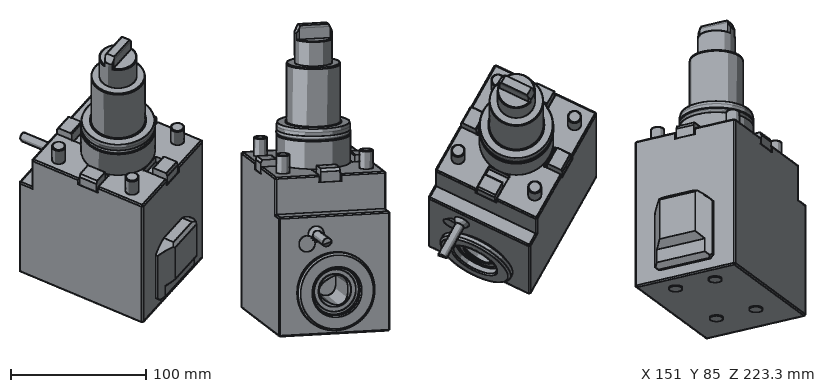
import cadquery as cq
import math


overall_height = 223.3

overlap = 2.2

body_left = -60.0
body_right = 47.8
body_width = 85.0
body_bottom = -118.3
step_left = -49.0
step_height = -28.0
edge_chamfer = 1.1

foot_diameter = 10.0
foot_height = 1.0
foot_left = -29.7
foot_right = 31.7
foot_y = 16.7
pin_diameter = 10.0
pin_height = 13.8
pin_offset = 32.0
pin_chamfer = 0.7

slot_width = 17.5
slot_start = 27.5
slot_depth = 5.4
key_width = 14.7
key_height = 5.0
key_length = 12.7
key_inset = 0.2
key_chamfer_height = 2.5
key_chamfer_depth = 1.1
key_inner_chamfer = 0.7

collar_diameter = 55.0
collar_height = 30.1
collar_chamfer_height = 2.2
collar_chamfer_width = 0.7
groove_diameter = 50.0
groove_bottom = 20.8
groove_top = 24.8
seal_diameter = 55.4
seal_section = 3.1
seal_height = 23.0
shank_foot_diameter = 41.8
shank_foot_height = 0.5
shank_diameter = 40.0
shank_top = 75.0
shank_chamfer_height = 1.1
shank_chamfer_width = 0.5
drive_diameter = 28.0
drive_top = 93.8
drive_chamfer = 0.7
tang_top = overall_height + body_bottom - foot_height
tang_width = 7.5
tang_flat_length = 24.0
tang_corner = 0.7
tang_top_length = 21.7
tang_shoulder = 97.8
tang_chamfer_height = 1.5
tang_chamfer_width = 0.5

spindle_z = -85.0
flange_diameter = 59.0
flange_front = -67.2
flange_back = -62.5
flange_chamfer = 1.5
neck_diameter = 50.0
recess_mouth_diameter = 38.2
recess_diameter = 36.0
recess_depth = 5.4
seat_diameter = 32.0
seat_depth = 5.8
bore_diameter = 25.0
bore_depth = 6.7
socket_depth = 31.3
socket_radius = 11.0
socket_lobe = 1.0
socket_taper = 0.93
socket_lobes = 3
socket_curve_steps = 60

pipe_y = 14.0
pipe_z = -42.0
pipe_diameter = 7.0
pipe_tip = -92.0
pipe_cut = 3.1
pipe_cut_turn = -18.0
ball_diameter = 12.5
ball_inset = 1.5
plug_y = 21.9
plug_z = -48.2
plug_small_diameter = 6.0
plug_height = 3.1

cover_right = 59.0
cover_ledge = 53.5
cover_side_edge = 49.5
cover_width = 49.0
cover_corner_radius = 32.5
cover_top = -55.2
cover_top_chamfer = 2.7
cover_slope_start = -89.8


def rod_x(diameter, x_start, x_end, y, z):
    """Cylinder along X between two X positions."""
    plane = cq.Workplane("YZ", origin=(x_start, y, z))
    return plane.circle(diameter / 2).extrude(x_end - x_start)


def make_body():
    outline = [
        (body_left, body_bottom),
        (body_right, body_bottom),
        (body_right, 0),
        (step_left, 0),
        (step_left, step_height),
        (body_left, step_height),
    ]
    block = cq.Workplane("XZ").polyline(outline).close().extrude(body_width / 2, both=True)
    convex_edges = block.edges("|X or |Z or (|Y and (<X or >X or >Z or <Z))")
    return convex_edges.chamfer(edge_chamfer)


def make_slot_and_key(direction, wall):
    """Slot in the seat face and its key, laid out along +X and turned about the shank axis."""
    slot_length = wall - slot_start + overlap
    slot = cq.Workplane("XY").box(slot_length, slot_width, slot_depth + overlap, centered=(False, True, False))
    slot = slot.translate((slot_start, 0, -slot_depth))
    key_end = wall - key_inset
    key_start = key_end - key_length
    key_profile = [
        (key_start, -slot_depth),
        (key_end, -slot_depth),
        (key_end, key_height - key_chamfer_height),
        (key_end - key_chamfer_depth, key_height),
        (key_start + key_inner_chamfer, key_height),
        (key_start, key_height - key_inner_chamfer),
    ]
    key = cq.Workplane("XZ").polyline(key_profile).close().extrude(key_width / 2, both=True)
    axis = ((0, 0, 0), (0, 0, 1), direction)
    return slot.rotate(*axis), key.rotate(*axis)


def make_shank():
    collar_r = collar_diameter / 2
    shank_r = shank_diameter / 2
    drive_r = drive_diameter / 2
    profile = [
        (0, -slot_depth),
        (collar_r, -slot_depth),
        (collar_r, groove_bottom),
        (groove_diameter / 2, groove_bottom),
        (groove_diameter / 2, groove_top),
        (collar_r, groove_top),
        (collar_r, collar_height - collar_chamfer_height),
        (collar_r - collar_chamfer_width, collar_height),
        (shank_foot_diameter / 2, collar_height),
        (shank_foot_diameter / 2, collar_height + shank_foot_height),
        (shank_r, collar_height + shank_foot_height),
        (shank_r, shank_top - shank_chamfer_height),
        (shank_r - shank_chamfer_width, shank_top),
        (drive_r, shank_top),
        (drive_r, drive_top - drive_chamfer),
        (drive_r - drive_chamfer, drive_top),
        (0, drive_top),
    ]
    shank = cq.Workplane("XZ").polyline(profile).close().revolve(360, (0, 0), (0, 1))
    seal_centre = ((seal_diameter - seal_section) / 2, seal_height)
    seal = cq.Workplane("XZ").moveTo(*seal_centre).circle(seal_section / 2)
    seal = seal.revolve(360, (0, 0), (0, 1))
    return shank.union(seal)


def make_tang():
    base = drive_top - overlap
    half_width = tang_width / 2
    drive_r = drive_diameter / 2
    plan = [
        (half_width, tang_flat_length / 2),
        (half_width - tang_corner, drive_r),
        (tang_corner - half_width, drive_r),
        (-half_width, tang_flat_length / 2),
    ]
    plan += [(-x, -y) for x, y in plan]
    side = [
        (drive_r, base),
        (drive_r, tang_shoulder),
        (tang_top_length / 2, tang_top),
    ]
    side += [(-y, z) for y, z in reversed(side)]
    end = [
        (half_width, base),
        (half_width, tang_top - tang_chamfer_height),
        (half_width - tang_chamfer_width, tang_top),
    ]
    end += [(-x, z) for x, z in reversed(end)]
    floor = cq.Workplane("XY", origin=(0, 0, base))
    tang = floor.circle(drive_r).extrude(tang_top - base)
    tang = tang.intersect(floor.polyline(plan).close().extrude(tang_top - base))
    tang = tang.intersect(cq.Workplane("YZ").polyline(side).close().extrude(drive_r, both=True))
    return tang.intersect(cq.Workplane("XZ").polyline(end).close().extrude(drive_r, both=True))


def lobed_wire(workplane, scale):
    """Closed three-lobed curve with one lobe toward +Y."""

    def point(t):
        angle = 2 * math.pi * t
        radius = scale * (socket_radius + socket_lobe * math.cos(socket_lobes * angle))
        return (radius * math.cos(angle), radius * math.sin(angle))

    return workplane.parametricCurve(point, N=socket_curve_steps)


def make_flange():
    flange = rod_x(flange_diameter, flange_front, flange_back, 0, spindle_z)
    flange = flange.faces("<X").chamfer(flange_chamfer)
    return flange.union(rod_x(neck_diameter, flange_back, body_left + overlap, 0, spindle_z))


def make_socket_cavity():
    mouth_r = recess_mouth_diameter / 2
    recess_r = recess_diameter / 2
    seat_r = seat_diameter / 2
    bore_r = bore_diameter / 2
    profile = [
        (0, 0),
        (0, mouth_r),
        (mouth_r - recess_r, recess_r),
        (recess_depth, recess_r),
        (recess_depth, seat_r),
        (seat_depth, seat_r),
        (seat_depth, bore_r),
        (bore_depth, bore_r),
        (bore_depth, 0),
    ]
    steps = cq.Workplane("XY").polyline(profile).close()
    steps = steps.revolve(360, (0, 0), (1, 0)).translate((flange_front, 0, spindle_z))
    mouth = cq.Workplane("YZ", origin=(flange_front + bore_depth, 0, spindle_z))
    lobed = lobed_wire(mouth, 1.0).workplane(offset=socket_depth)
    lobed = lobed_wire(lobed, socket_taper).loft()
    return steps.union(lobed)


def make_coolant_pipe():
    pipe = rod_x(pipe_diameter, pipe_tip, body_left, pipe_y, pipe_z)
    bottom = -pipe_diameter / 2
    bevel = cq.Workplane("XZ").polyline([(0, bottom), (pipe_cut, bottom), (0, bottom + pipe_cut)]).close()
    bevel = bevel.extrude(pipe_diameter, both=True).rotate((0, 0, 0), (1, 0, 0), pipe_cut_turn)
    pipe = pipe.cut(bevel.translate((pipe_tip, pipe_y, pipe_z)))
    ball = cq.Workplane("XY").sphere(ball_diameter / 2).translate((body_left + ball_inset, pipe_y, pipe_z))
    return pipe.union(ball)


def make_plug():
    small_r = plug_small_diameter / 2
    plug_end = plug_height + overlap
    profile = [
        (0, 0),
        (0, small_r + plug_height),
        (plug_height, small_r),
        (plug_end, small_r),
        (plug_end, 0),
    ]
    plug = cq.Workplane("XY").polyline(profile).close()
    plug = plug.revolve(360, (0, 0), (1, 0))
    return plug.translate((body_left - plug_height, plug_y, plug_z))


def make_cover():
    inside = body_right - overlap
    half_width = cover_width / 2
    bottom = spindle_z - half_width
    side_slope = cover_right - cover_side_edge
    ledge_rise = cover_right - cover_ledge
    side = [
        (inside, cover_top),
        (cover_right - cover_top_chamfer, cover_top),
        (cover_right, cover_top - cover_top_chamfer),
        (cover_right, cover_slope_start),
        (cover_ledge, cover_slope_start - ledge_rise),
        (cover_ledge, bottom + cover_ledge - cover_side_edge),
        (cover_side_edge, bottom),
        (inside, bottom),
    ]
    plan = [(inside, half_width), (cover_side_edge, half_width), (cover_right, half_width - side_slope)]
    plan += [(x, -y) for x, y in reversed(plan)]
    cover = rod_x(2 * cover_corner_radius, inside, cover_right, 0, spindle_z)
    cover = cover.intersect(cq.Workplane("XZ").polyline(side).close().extrude(cover_width, both=True))
    return cover.intersect(cq.Workplane("XY").polyline(plan).close().extrude(overall_height, both=True))


body = make_body()
keys = []
sides = [
    (0, body_right),
    (90, body_width / 2),
    (180, -step_left),
    (270, body_width / 2),
]
for direction, wall in sides:
    slot, key = make_slot_and_key(direction, wall)
    body = body.cut(slot)
    keys.append(key)
for key in keys:
    body = body.union(key)

pins = cq.Workplane("XY", origin=(0, 0, -overlap)).rect(2 * pin_offset, 2 * pin_offset, forConstruction=True)
pins = pins.vertices().circle(pin_diameter / 2).extrude(pin_height + overlap).faces(">Z").chamfer(pin_chamfer)
foot_places = [(x, y) for x in (foot_left, foot_right) for y in (-foot_y, foot_y)]
feet = cq.Workplane("XY", origin=(0, 0, body_bottom - foot_height)).pushPoints(foot_places)
feet = feet.circle(foot_diameter / 2).extrude(foot_height + overlap)

result = body.union(pins).union(feet).union(make_shank()).union(make_tang()).union(make_flange())
result = result.union(make_coolant_pipe()).union(make_plug()).union(make_cover())
result = result.cut(make_socket_cavity())